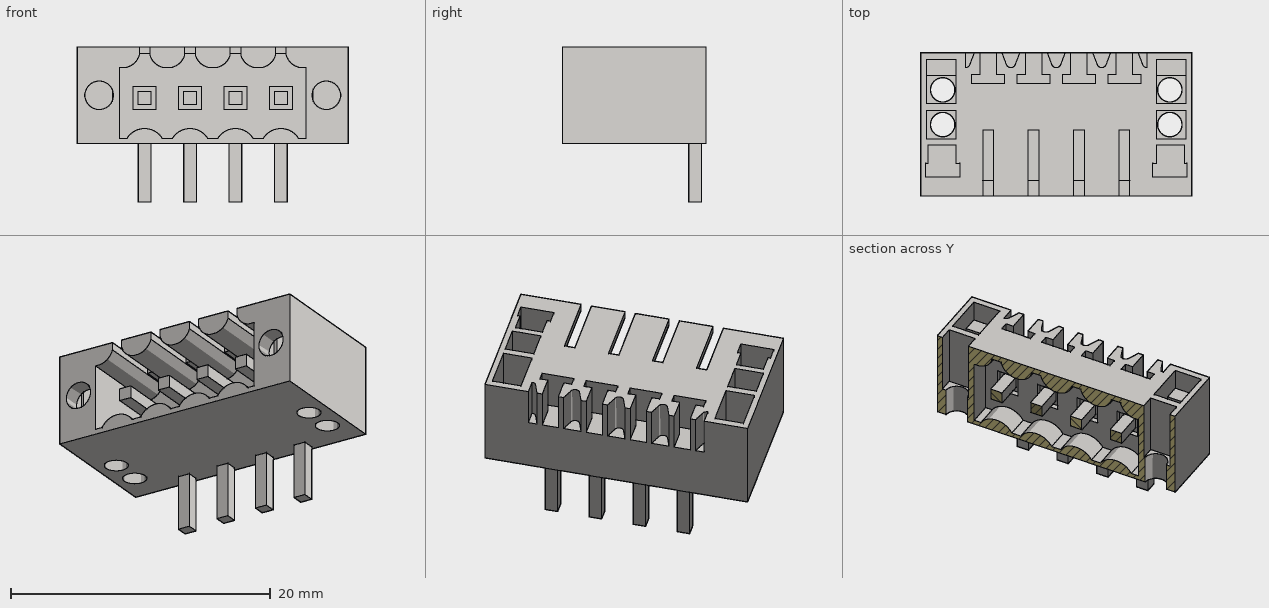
import cadquery as cq
import math

LENGTH = 20.9
DEPTH = 11.05
HEIGHT = 7.46
FRONT = -DEPTH / 2
BACK = DEPTH / 2

PIN_COUNT = 4
SCREW_SPACING = 17.5
PITCH = SCREW_SPACING / (PIN_COUNT + 1)
PIN_XS = [(i - (PIN_COUNT - 1) / 2) * PITCH for i in range(PIN_COUNT)]
MID_XS = [(i - PIN_COUNT / 2) * PITCH for i in range(PIN_COUNT + 1)]

PIN_SIZE = 1.0
PIN_CENTRE_Z = 3.51
PIN_TIP_Y = FRONT + 1.21
PIN_BACK_Y = BACK - 0.33
PIN_TAIL = 4.5
PIN_RECESS_SIZE = 1.78
PIN_RECESS_DEPTH = 0.42

CAVITY_WIDTH = 14.38
CAVITY_DEPTH = 7.32
CAVITY_FLOOR_Z = 0.42
CAVITY_ROOF_Z = 5.85
KEYWAY_TOP_Z = 6.94
RIDGE_HALF_WIDTH = 1.35
RIDGE_TOP_Z = 1.17
ROOF_RIB_RADIUS = 1.4
ROOF_RIB_CENTRE_Z = 7.23
KEY_SLOT_WIDTH = 0.82
KEY_SLOT_LENGTH = 5.1

BACK_RECESS_DEPTH = 3.14
TEE_NECK_WIDTH = 1.27
TEE_NECK_LENGTH = 1.7
TEE_BAR_WIDTH = 2.53
TEE_LENGTH = 2.38
NOTCH_MOUTH_WIDTH = 1.38
NOTCH_WAIST_WIDTH = 0.71
NOTCH_WAIST_DEPTH = 0.88
NOTCH_DEPTH = 1.15

FLANGE_X = SCREW_SPACING / 2
SCREW_HOLE_DIAMETER = 2.2
MOUNT_HOLE_DIAMETER = 1.85
MOUNT_HOLE_YS = [FRONT + 5.52, FRONT + 8.2]
POCKET_FLOOR_Z = 2.42
POCKET_INNER_X = 7.71
POCKET_OUTER_X = 10.0
FRONT_POCKET_Y = (FRONT + 4.4, FRONT + 6.6)
BACK_POCKET_Y = (FRONT + 7.13, FRONT + 10.53)
LEDGE_Y = FRONT + 9.3
LEDGE_DROP = 1.73
NUT_SLOT_WIDTH = 2.63
NUT_SLOT_X = (FLANGE_X - NUT_SLOT_WIDTH / 2, FLANGE_X + NUT_SLOT_WIDTH / 2)
NUT_SLOT_FRONT_Y = FRONT + 1.48
NUT_SLOT_BACK_Y = FRONT + 2.55
NUT_SHOULDER_Y = FRONT + 2.5
SCREW_END_X = (POCKET_INNER_X, 9.86)
SCREW_END_Y = FRONT + 3.95


def block(x_range, y_range, z_range):
    """Box between the given limits along each axis."""
    size = [high - low for low, high in (x_range, y_range, z_range)]
    corner = (x_range[0], y_range[0], z_range[0])
    return cq.Workplane("XY").box(*size, centered=False).translate(corner)


def centred(middle, width):
    return (middle - width / 2, middle + width / 2)


def ridge(x):
    """Rounded ridge along the cavity floor, below one pin."""
    return (
        cq.Workplane("XZ", origin=(x, FRONT, 0))
        .moveTo(-RIDGE_HALF_WIDTH, CAVITY_FLOOR_Z)
        .threePointArc((0, RIDGE_TOP_Z), (RIDGE_HALF_WIDTH, CAVITY_FLOOR_Z))
        .close()
        .extrude(-CAVITY_DEPTH)
    )


def roof_rib(x):
    """Rib along the cavity roof, with upright sides and a round underside."""
    half_width = (PITCH - KEY_SLOT_WIDTH) / 2
    side_bottom_z = ROOF_RIB_CENTRE_Z - math.sqrt(ROOF_RIB_RADIUS**2 - half_width**2)
    return (
        cq.Workplane("XZ", origin=(x, FRONT, 0))
        .moveTo(-half_width, HEIGHT)
        .lineTo(-half_width, side_bottom_z)
        .threePointArc((0, ROOF_RIB_CENTRE_Z - ROOF_RIB_RADIUS), (half_width, side_bottom_z))
        .lineTo(half_width, HEIGHT)
        .close()
        .extrude(-CAVITY_DEPTH)
    )


def keyway(x):
    """Opening above the flat roof over one pin, between two roof ribs."""
    cavity_y = (FRONT, FRONT + CAVITY_DEPTH)
    opening = block(centred(x, PITCH), cavity_y, (CAVITY_ROOF_Z, KEYWAY_TOP_Z))
    return opening.cut(roof_rib(x - PITCH / 2)).cut(roof_rib(x + PITCH / 2))


def cavity():
    cavity_y = (FRONT, FRONT + CAVITY_DEPTH)
    space = block(centred(0, CAVITY_WIDTH), cavity_y, (CAVITY_FLOOR_Z, CAVITY_ROOF_Z))
    for x in PIN_XS:
        space = space.cut(ridge(x)).union(keyway(x))
    return space


def key_slot(x):
    """Slot through the top, over one pin, open to the front."""
    slot_y = (FRONT, FRONT + KEY_SLOT_LENGTH)
    return block(centred(x, KEY_SLOT_WIDTH), slot_y, (CAVITY_ROOF_Z, HEIGHT))


def pin_recess(x):
    """Square recess in the back wall of the cavity, around one pin."""
    wall_y = FRONT + CAVITY_DEPTH
    return block(
        centred(x, PIN_RECESS_SIZE),
        (wall_y, wall_y + PIN_RECESS_DEPTH),
        centred(PIN_CENTRE_Z, PIN_RECESS_SIZE),
    )


def tee_recess(x):
    """T-shaped recess in the top, open to the back."""
    recess_z = (HEIGHT - BACK_RECESS_DEPTH, HEIGHT)
    neck = block(centred(x, TEE_NECK_WIDTH), (BACK - TEE_LENGTH, BACK), recess_z)
    bar = block(centred(x, TEE_BAR_WIDTH), (BACK - TEE_LENGTH, BACK - TEE_NECK_LENGTH), recess_z)
    return neck.union(bar)


def back_notch(x):
    """Tapering round-bottomed notch in the back edge."""
    return (
        cq.Workplane("XY", origin=(x, BACK, HEIGHT))
        .moveTo(-NOTCH_MOUTH_WIDTH / 2, 0)
        .lineTo(-NOTCH_WAIST_WIDTH / 2, -NOTCH_WAIST_DEPTH)
        .threePointArc((0, -NOTCH_DEPTH), (NOTCH_WAIST_WIDTH / 2, -NOTCH_WAIST_DEPTH))
        .lineTo(NOTCH_MOUTH_WIDTH / 2, 0)
        .close()
        .extrude(-BACK_RECESS_DEPTH)
    )


def back_notches():
    """Notches between and beside the tees; the end ones are halved by an upright wall."""
    notches = cq.Workplane("XY")
    for x in MID_XS:
        notches = notches.add(back_notch(x))
    limits = block((MID_XS[0], MID_XS[-1]), (FRONT, BACK), (0, HEIGHT))
    return notches.combine().intersect(limits)


def nut_pocket():
    """Pocket for a nut, narrowing to the back over slightly sloping shoulders."""
    outline = [
        (NUT_SLOT_X[0], NUT_SLOT_FRONT_Y),
        (NUT_SLOT_X[1], NUT_SLOT_FRONT_Y),
        (NUT_SLOT_X[1], NUT_SLOT_BACK_Y),
        (SCREW_END_X[1], NUT_SHOULDER_Y),
        (SCREW_END_X[1], SCREW_END_Y),
        (SCREW_END_X[0], SCREW_END_Y),
        (SCREW_END_X[0], NUT_SHOULDER_Y),
        (NUT_SLOT_X[0], NUT_SLOT_BACK_Y),
    ]
    pocket = cq.Workplane("XY", origin=(0, 0, POCKET_FLOOR_Z)).polyline(outline).close()
    return pocket.extrude(HEIGHT - POCKET_FLOOR_Z)


def flange_cuts():
    """Pockets and holes of the flange on the +X side."""
    pocket_x = (POCKET_INNER_X, POCKET_OUTER_X)
    pocket_z = (POCKET_FLOOR_Z, HEIGHT)
    ledge_z = (HEIGHT - LEDGE_DROP, HEIGHT)
    cuts = block(pocket_x, FRONT_POCKET_Y, pocket_z)
    cuts = cuts.union(block(pocket_x, (BACK_POCKET_Y[0], LEDGE_Y), pocket_z))
    cuts = cuts.union(block(pocket_x, (LEDGE_Y, BACK_POCKET_Y[1]), ledge_z))
    cuts = cuts.union(nut_pocket())
    screw_hole = (
        cq.Workplane("XZ", origin=(FLANGE_X, FRONT, HEIGHT / 2))
        .circle(SCREW_HOLE_DIAMETER / 2)
        .extrude(FRONT - NUT_SLOT_FRONT_Y)
    )
    mount_holes = (
        cq.Workplane("XY")
        .pushPoints([(FLANGE_X, y) for y in MOUNT_HOLE_YS])
        .circle(MOUNT_HOLE_DIAMETER / 2)
        .extrude(HEIGHT)
    )
    return cuts.union(screw_hole).union(mount_holes)


def make_pin(x):
    """Square pin: a level contact toward the front and a tail down through the underside."""
    width = centred(x, PIN_SIZE)
    contact_z = centred(PIN_CENTRE_Z, PIN_SIZE)
    contact = block(width, (PIN_TIP_Y, PIN_BACK_Y), contact_z)
    tail = block(width, (PIN_BACK_Y - PIN_SIZE, PIN_BACK_Y), (-PIN_TAIL, contact_z[1]))
    return contact.union(tail)


def make_housing(pins):
    body = block(centred(0, LENGTH), (FRONT, BACK), (0, HEIGHT)).cut(cavity())
    for x in PIN_XS:
        body = body.cut(key_slot(x)).cut(pin_recess(x)).cut(tee_recess(x))
    body = body.cut(back_notches())
    right_flange = flange_cuts()
    body = body.cut(right_flange).cut(right_flange.mirror("YZ"))
    for pin in pins:
        body = body.cut(pin)
    return body


pins = [make_pin(x) for x in PIN_XS]
housing = make_housing(pins)

housing_solid = housing.solids().val()
pin_solids = [pin.solids().val() for pin in pins]

result = cq.Compound.makeCompound([housing_solid, *pin_solids])